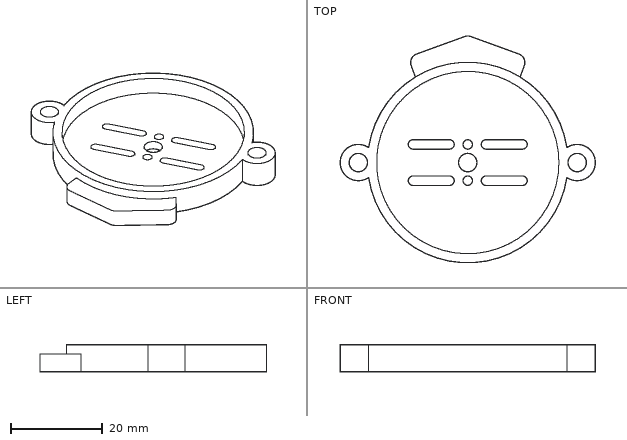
import cadquery as cq
import math

dish_diameter = 44.0
wall_thickness = 2.0
dish_height = 6.0
floor_thickness = 2.0
cavity_diameter = dish_diameter - 2 * wall_thickness

overall_length = 56.0
lug_diameter = 8.0
lug_hole_diameter = 4.0
lug_offset = (overall_length - lug_diameter) / 2
lug_centers = [(-lug_offset, 0), (lug_offset, 0)]

center_hole_diameter = 4.0
small_hole_diameter = 2.0
row_offset = 4.0
slot_length = 10.0
slot_width = 2.0
slot_offset = 8.0

overall_width = 49.75
bracket_height = 4.0
arm_slope = 20.0
arm_length = 11.2
corner_radius = 2.0
end_face_length = 2.8
peak_y = overall_width - dish_diameter / 2 - corner_radius


def make_dish():
    """Round body, still solid inside."""
    return cq.Workplane("XY").circle(dish_diameter / 2).extrude(dish_height)


def make_lugs():
    """Round lugs, one at each end of the X axis."""
    return cq.Workplane("XY").pushPoints(lug_centers).circle(lug_diameter / 2).extrude(dish_height)


def make_bracket():
    """Both arms as one plate whose lower side is buried in the dish."""
    slope = math.radians(arm_slope)
    along = (math.cos(slope), -math.sin(slope))
    outward = (math.sin(slope), math.cos(slope))
    diagonal = (math.cos(math.pi / 4 - slope), math.sin(math.pi / 4 - slope))
    corner = (arm_length * along[0], peak_y + arm_length * along[1])

    def offset(point, direction, distance):
        return (point[0] + distance * direction[0], point[1] + distance * direction[1])

    def mirrored(point):
        return (-point[0], point[1])

    peak_end = offset((0, peak_y), outward, corner_radius)
    corner_start = offset(corner, outward, corner_radius)
    corner_middle = offset(corner, diagonal, corner_radius)
    corner_end = offset(corner, along, corner_radius)
    foot = offset(corner_end, outward, -end_face_length)

    return (
        cq.Workplane("XY")
        .moveTo(*mirrored(peak_end))
        .threePointArc((0, peak_y + corner_radius), peak_end)
        .lineTo(*corner_start)
        .threePointArc(corner_middle, corner_end)
        .lineTo(*foot)
        .lineTo(0, 0)
        .lineTo(*mirrored(foot))
        .lineTo(*mirrored(corner_end))
        .threePointArc(mirrored(corner_middle), mirrored(corner_start))
        .close()
        .extrude(bracket_height)
    )


def make_cavity():
    """Round cavity open at the top."""
    cavity_depth = dish_height - floor_thickness
    floor = cq.Workplane("XY").workplane(offset=floor_thickness)
    return floor.circle(cavity_diameter / 2).extrude(cavity_depth)


def drill(body, centers, diameter):
    """Cut through holes at the given centers."""
    holes = cq.Workplane("XY").pushPoints(centers).circle(diameter / 2).extrude(dish_height)
    return body.cut(holes)


def cut_slots(body):
    """Cut the four slots, two in each row."""
    slot_centers = [(x, y) for x in (-slot_offset, slot_offset) for y in (-row_offset, row_offset)]
    slots = cq.Workplane("XY").pushPoints(slot_centers).slot2D(slot_length, slot_width).extrude(dish_height)
    return body.cut(slots)


body = make_dish().union(make_lugs()).union(make_bracket())
body = body.cut(make_cavity())
body = drill(body, lug_centers, lug_hole_diameter)
body = drill(body, [(0, 0)], center_hole_diameter)
body = drill(body, [(0, -row_offset), (0, row_offset)], small_hole_diameter)
result = cut_slots(body)